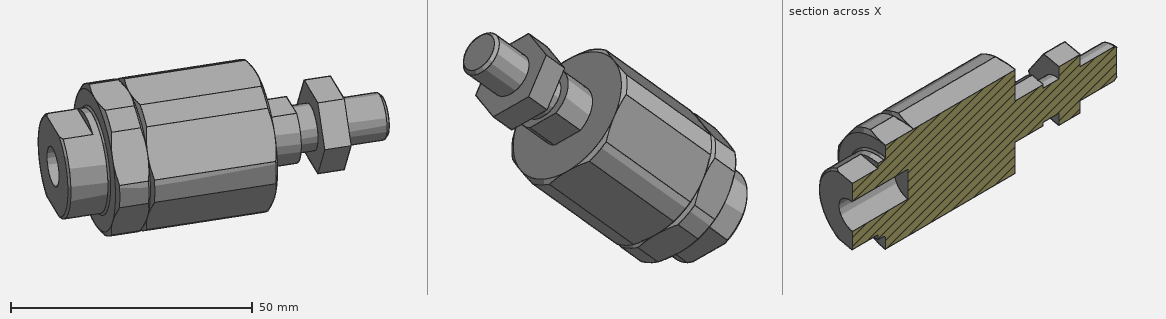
import cadquery as cq
import math

total_length = 71.5
socket_flat_end = 6.9
collar_start = 8.5
lock_nut_start = 8.95
body_start = 16.5
body_end = 44.05
shoulder_end = 51.6
rod_nut_start = 55.85
rod_nut_thickness = 5.7

body_across_flats = 30.0
body_corner_diameter = 32.0
body_chamfer_length = 0.65
socket_diameter = 22.2
socket_across_flats = 19.2
socket_chamfer = 0.5
collar_diameter = 23.1
bore_diameter = 8.5
bore_depth = 15.0
shoulder_diameter = 14.0
shoulder_across_flats = 12.0
rod_diameter = 10.0
rod_chamfer = 0.7
rod_nut_across_flats = 17.0


def cylinder(diameter, start, end):
    """Cylinder on the Y axis between two positions."""
    axis_plane = cq.Workplane("XZ", origin=(0, start, 0))
    return axis_plane.circle(diameter / 2).extrude(start - end)


def hexagon(across_flats, start, end):
    """Hexagonal prism with flats facing up and down."""
    corner_diameter = across_flats / math.cos(math.pi / 6)
    axis_plane = cq.Workplane("XZ", origin=(0, start, 0))
    return axis_plane.polygon(6, corner_diameter).extrude(start - end)


def two_flats(solid, across_flats, start, end):
    """Trim a round section to two parallel flats facing up and down."""
    size = body_corner_diameter
    slab_length = end - start
    middle = (start + end) / 2
    section = cq.Workplane("XY").box(size, slab_length, size).translate((0, middle, 0))
    kept = cq.Workplane("XY").box(size, slab_length, across_flats).translate((0, middle, 0))
    return solid.cut(section.cut(kept))


def rounded_hexagon(start, end):
    """Hexagon with turned corners and a conical chamfer at each end."""
    face_radius = body_across_flats / 2
    corner_radius = body_corner_diameter / 2
    turned_blank = (
        cq.Workplane("XY")
        .moveTo(0, start)
        .lineTo(face_radius, start)
        .lineTo(corner_radius, start + body_chamfer_length)
        .lineTo(corner_radius, end - body_chamfer_length)
        .lineTo(face_radius, end)
        .lineTo(0, end)
        .close()
        .revolve(360, (0, 0, 0), (0, 1, 0))
    )
    return hexagon(body_across_flats, start, end).intersect(turned_blank)


def make_socket():
    """Chamfered socket end with two flats and a tapered collar."""
    socket = cylinder(socket_diameter, 0, lock_nut_start).faces("<Y").chamfer(socket_chamfer)
    socket = two_flats(socket, socket_across_flats, 0, socket_flat_end)
    collar = (
        cq.Workplane("XY")
        .moveTo(0, collar_start)
        .lineTo(socket_diameter / 2, collar_start)
        .lineTo(collar_diameter / 2, lock_nut_start)
        .lineTo(0, lock_nut_start)
        .close()
        .revolve(360, (0, 0, 0), (0, 1, 0))
    )
    return socket.union(collar)


def make_rod():
    """Rod with a flatted shoulder, chamfered tip and hexagon nut."""
    shoulder = cylinder(shoulder_diameter, body_end, shoulder_end)
    shoulder = two_flats(shoulder, shoulder_across_flats, body_end, shoulder_end)
    rod = cylinder(rod_diameter, shoulder_end, total_length).faces(">Y").chamfer(rod_chamfer)
    nut = hexagon(rod_nut_across_flats, rod_nut_start, rod_nut_start + rod_nut_thickness)
    return shoulder.union(rod).union(nut)


lock_nut = rounded_hexagon(lock_nut_start, body_start)
body = rounded_hexagon(body_start, body_end)
bore = cylinder(bore_diameter, 0, bore_depth)

result = make_socket().union(lock_nut).union(body).union(make_rod()).cut(bore)